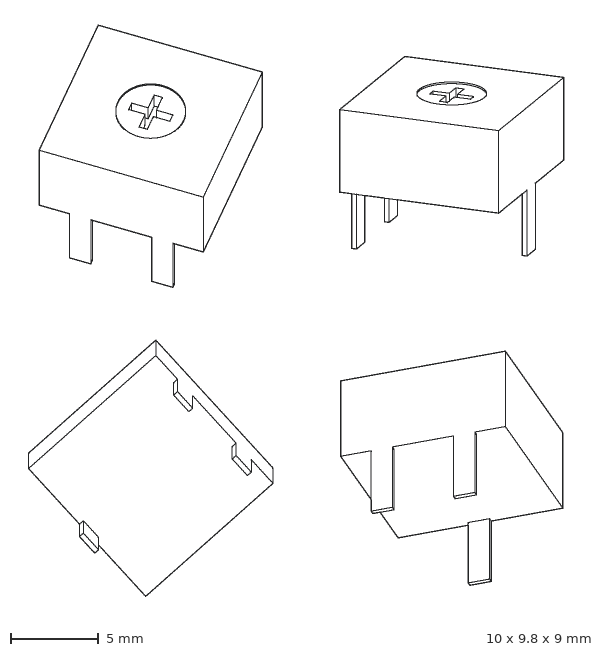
import cadquery as cq

body_width = 10.0
body_depth = 9.8
body_height = 5.0

recess_diameter = 4.0
recess_depth = 0.1
slot_length = 2.5
slot_width = 0.5
slot_depth = 1.0

lead_width = 1.3
lead_thickness = 0.3
lead_length = 4.0
lead_pitch = 2.5


def make_body():
    return cq.Workplane("XY").box(body_width, body_depth, body_height, centered=(True, True, False))


def cut_adjuster(part):
    recess_floor = body_height - recess_depth
    recess = cq.Workplane("XY").workplane(offset=recess_floor).circle(recess_diameter / 2).extrude(recess_depth)
    part = part.cut(recess)
    slot_floor = recess_floor - slot_depth
    for size_x, size_y in ((slot_length, slot_width), (slot_width, slot_length)):
        arm = cq.Workplane("XY").workplane(offset=slot_floor).rect(size_x, size_y).extrude(slot_depth)
        part = part.cut(arm)
    return part


def add_leads(part):
    lead_y = (body_depth - lead_thickness) / 2
    for x, y in ((-lead_pitch, -lead_y), (lead_pitch, -lead_y), (0, lead_y)):
        lead = cq.Workplane("XY").center(x, y).rect(lead_width, lead_thickness).extrude(-lead_length)
        part = part.union(lead)
    return part


result = add_leads(cut_adjuster(make_body()))